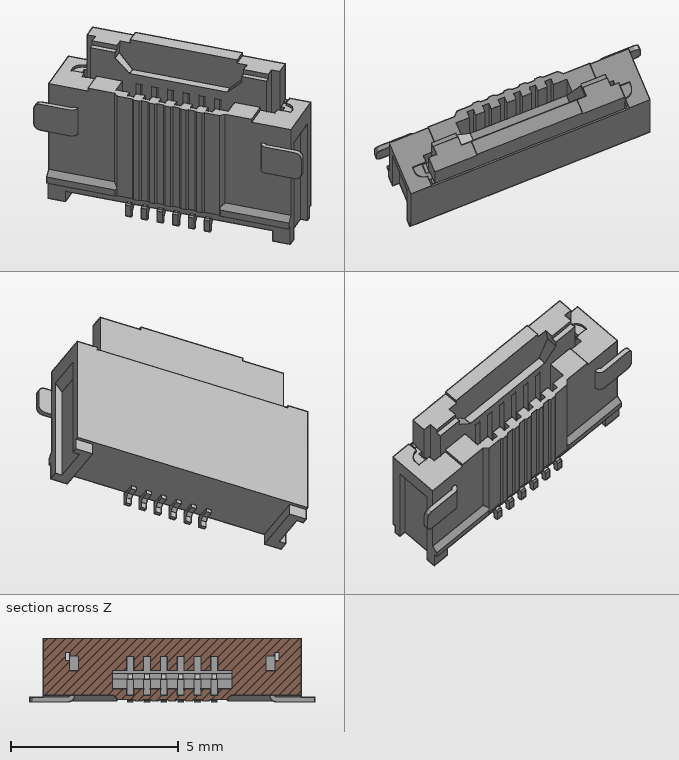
import cadquery as cq
import math


HALF_WIDTH = 3.85
TOP_Z = 3.95
FRONT_Y = -1.70
BASE_FRONT_Y = -1.77
FOOT_BACK_Y = -0.10
UNDERSIDE_Z = 0.36
FOOT_INNER_X = 3.29

LIP_HALF_WIDTH = 2.60
LIP_TOP_Z = 4.05

PAD_HALF_WIDTH = 1.625
PAD_Y = -1.83
PAD_DEPTH = FRONT_Y - PAD_Y
RIB_Y = -1.875
RIB_HEIGHT = PAD_Y - RIB_Y
RIB_TIP_HALF = 0.085
RIB_BASE_HALF = 0.145
LEDGE_BOTTOM_Z = 0.59
LEDGE_EDGE_Z = 0.80
LEDGE_TOP_Z = LEDGE_EDGE_Z + FRONT_Y - RIB_Y

CHANNEL_BACK_Y = -0.30
CHANNEL_FRONT_Y = -1.45
CHANNEL_DEPTH = 0.22
CHANNEL_TOP_Z = 3.36
CHANNEL_SLOPE = 0.26

CONTACT_COUNT = 6
PITCH = 0.50
CONTACT_XS = [(i - (CONTACT_COUNT - 1) / 2) * PITCH for i in range(CONTACT_COUNT)]
RIB_XS = [(i - (CONTACT_COUNT - 2) / 2) * PITCH for i in range(CONTACT_COUNT - 1)]
TAIL_WIDTH = 0.17
TAIL_FRONT_Y = -1.90
TAIL_BACK_Y = -1.74
TAIL_BOTTOM_Z = -0.05
TAIL_TOP_Z = 0.41
TAIL_CHAMFER = 0.05
TAIL_ARM_Z = 0.24
TAIL_ARM_END_Y = -1.40
TAIL_BEND_CHAMFER = 0.10

BAR_HALF_WIDTH = 3.06
BAR_BACK_Y = -0.05
BAR_FRONT_Y = -0.96
BAR_TOP_Z = 5.15
CREST_HALF_WIDTH = 1.70
CREST_TOP_Z = 5.25
RIM_Y = -0.80
RIM_Z = 5.00
NOTCH_X = 2.80
NOTCH_BACK_Y = -0.53
NOTCH_DEPTH = 1.00
GRIP_HALF_TOP = 2.01
GRIP_HALF_BOTTOM = 1.55
GRIP_CORNER_Z = 4.80
GRIP_BOTTOM_Z = 4.36
GRIP_TOP_Y = -0.50
GRIP_BOTTOM_Y = -0.71
BAR_SLOT_BACK_Y = -0.55

OPENING_HALF_WIDTH = 1.78
OPENING_FRONT_Y = -1.50
OPENING_FLOOR_Z = 1.00
SILL_BACK_Y = -1.05
SILL_FRONT_Y = -1.21
SILL_Z = 1.40
BACK_STEP_Z = 1.80
SLOT_WIDTH = 0.20
SLOT_BACK_Y = -1.23
SLOT_FRONT_Y = -1.69
SLOT_FLOOR_Z = 0.80
CONTACT_TIP_WIDTH = 0.14
CONTACT_TIP_BACK_Y = -1.07
CONTACT_TIP_RISE = 0.10

SEAT_DEPTH = 0.08
SEAT_HALF_WIDTH = 3.18
SEAT_RADIUS = 0.31
SEAT_BACK_Y = -0.32
SEAT_FRONT_Y = -0.75
SHOULDER_HALF_WIDTH = 3.13
SHOULDER_FRONT_Y = -0.21
SHOULDER_DROP = 0.04
PIVOT_GAP_BACK_Y = -0.43
PIVOT_GAP_SHALLOW = 0.15
PIVOT_GAP_DEEP = 0.35

TAB_END_X = 4.25
TAB_FRONT_Y = -1.90
TAB_THICKNESS = 0.15
TAB_BOTTOM_Z = 2.40
TAB_TOP_Z = 3.30
TAB_CORNER_RADIUS = 0.20
TAB_BEND_X = 3.11
TAB_ROOT_Y = FRONT_Y + 0.10


def box(x0, x1, y0, y1, z0, z1):
    """Box between two corners."""
    size = (abs(x1 - x0), abs(y1 - y0), abs(z1 - z0))
    corner = (min(x0, x1), min(y0, y1), min(z0, z1))
    return cq.Workplane("XY").box(*size, centered=False).translate(corner)


def centred_box(half_width, y0, y1, z0, z1):
    """Box symmetric about X = 0."""
    return box(-half_width, half_width, y0, y1, z0, z1)


def plan_prism(points, z0, z1):
    """Polygon of (x, y) points, extruded from z0 to z1."""
    return cq.Workplane("XY").workplane(offset=z0).polyline(points).close().extrude(z1 - z0)


def side_prism(points, x0, x1):
    """Polygon of (y, z) points, extruded from x0 to x1."""
    return cq.Workplane("YZ").workplane(offset=x0).polyline(points).close().extrude(x1 - x0)


def front_prism(points, y0, y1):
    """Polygon of (x, z) points, extruded from y0 toward -Y as far as y1."""
    return cq.Workplane("XZ").workplane(offset=-y0).polyline(points).close().extrude(y0 - y1)


def both_sides(solid):
    """The solid together with its mirror image across X = 0."""
    return solid.union(solid.mirror("YZ"))


def make_housing():
    housing = centred_box(HALF_WIDTH, 0, FRONT_Y, UNDERSIDE_Z, TOP_Z)
    housing = housing.union(centred_box(HALF_WIDTH, FOOT_BACK_Y, BASE_FRONT_Y, UNDERSIDE_Z, LEDGE_BOTTOM_Z))
    housing = housing.union(centred_box(LIP_HALF_WIDTH, BAR_FRONT_Y, FRONT_Y, TOP_Z, LIP_TOP_Z))
    foot = box(FOOT_INNER_X, HALF_WIDTH, FOOT_BACK_Y, BASE_FRONT_Y, 0, UNDERSIDE_Z)
    return housing.union(both_sides(foot))


def make_pad():
    """Raised pad with a tapered rib between each two contacts."""
    root = PAD_HALF_WIDTH + PAD_DEPTH
    pad = plan_prism(
        [(-root, FRONT_Y), (-PAD_HALF_WIDTH, PAD_Y), (PAD_HALF_WIDTH, PAD_Y), (root, FRONT_Y)],
        LEDGE_BOTTOM_Z, LIP_TOP_Z)
    for x in RIB_XS:
        pad = pad.union(plan_prism(
            [(x - RIB_BASE_HALF, PAD_Y), (x - RIB_TIP_HALF, RIB_Y),
             (x + RIB_TIP_HALF, RIB_Y), (x + RIB_BASE_HALF, PAD_Y)],
            LEDGE_BOTTOM_Z, LIP_TOP_Z))
    return pad


def make_ledge():
    """Sloped ledge on the +X side, ending in a bevel at the pad."""
    bar = side_prism(
        [(FRONT_Y, LEDGE_BOTTOM_Z), (RIB_Y, LEDGE_BOTTOM_Z), (RIB_Y, LEDGE_EDGE_Z), (FRONT_Y, LEDGE_TOP_Z)],
        0, HALF_WIDTH)
    plan = plan_prism(
        [(PAD_HALF_WIDTH, FRONT_Y), (PAD_HALF_WIDTH, PAD_Y), (PAD_HALF_WIDTH + RIB_HEIGHT, RIB_Y),
         (HALF_WIDTH, RIB_Y), (HALF_WIDTH, FRONT_Y)],
        LEDGE_BOTTOM_Z, LEDGE_TOP_Z)
    return bar.intersect(plan)


def make_channel():
    """Cut for the +X end channel, open at the bottom, its top sloping inward."""
    inner = HALF_WIDTH - CHANNEL_DEPTH
    return front_prism(
        [(inner, 0), (HALF_WIDTH, 0), (HALF_WIDTH, CHANNEL_TOP_Z), (inner, CHANNEL_TOP_Z - CHANNEL_SLOPE)],
        CHANNEL_BACK_Y, CHANNEL_FRONT_Y)


def make_seats():
    """Cut for the shallow recess at the back, the pivot seats and the sloped pivot gaps."""
    floor = TOP_Z - SEAT_DEPTH
    outer = SEAT_HALF_WIDTH + SEAT_RADIUS
    diagonal = SEAT_RADIUS * math.sqrt(0.5)
    arc_y = SEAT_BACK_Y - SEAT_RADIUS
    seat = (
        cq.Workplane("XY").workplane(offset=floor)
        .moveTo(0, SEAT_BACK_Y)
        .lineTo(SEAT_HALF_WIDTH, SEAT_BACK_Y)
        .threePointArc((SEAT_HALF_WIDTH + diagonal, arc_y + diagonal), (outer, arc_y))
        .lineTo(outer, SEAT_FRONT_Y)
        .lineTo(0, SEAT_FRONT_Y)
        .close().extrude(SEAT_DEPTH)
    )
    gap = side_prism(
        [(PIVOT_GAP_BACK_Y, TOP_Z), (PIVOT_GAP_BACK_Y, TOP_Z - PIVOT_GAP_DEEP),
         (SEAT_FRONT_Y, TOP_Z - PIVOT_GAP_SHALLOW), (SEAT_FRONT_Y, TOP_Z)],
        BAR_HALF_WIDTH, SEAT_HALF_WIDTH)
    return both_sides(seat.union(gap)).union(centred_box(SEAT_HALF_WIDTH, 0, SEAT_BACK_Y, floor, TOP_Z))


def make_actuator():
    """Locking bar, standing on the housing, with a sloped finger grip in its front."""
    base_z = TOP_Z - NOTCH_DEPTH
    bar = centred_box(BAR_HALF_WIDTH, BAR_BACK_Y, BAR_FRONT_Y, base_z, BAR_TOP_Z)
    bar = bar.union(centred_box(CREST_HALF_WIDTH, BAR_BACK_Y, GRIP_BOTTOM_Y, BAR_TOP_Z, CREST_TOP_Z))
    shoulder_z = TOP_Z - SHOULDER_DROP
    bar = bar.union(centred_box(SHOULDER_HALF_WIDTH, BAR_BACK_Y, SHOULDER_FRONT_Y, base_z, shoulder_z))
    bar = bar.cut(centred_box(BAR_HALF_WIDTH, RIM_Y, BAR_FRONT_Y, RIM_Z, BAR_TOP_Z))
    outline = front_prism(
        [(-GRIP_HALF_BOTTOM, GRIP_BOTTOM_Z), (GRIP_HALF_BOTTOM, GRIP_BOTTOM_Z),
         (GRIP_HALF_TOP, GRIP_CORNER_Z), (GRIP_HALF_TOP, CREST_TOP_Z),
         (-GRIP_HALF_TOP, CREST_TOP_Z), (-GRIP_HALF_TOP, GRIP_CORNER_Z)],
        0, BAR_FRONT_Y)
    slope = side_prism(
        [(BAR_FRONT_Y, GRIP_BOTTOM_Z), (GRIP_BOTTOM_Y, GRIP_BOTTOM_Z),
         (GRIP_TOP_Y, CREST_TOP_Z), (BAR_FRONT_Y, CREST_TOP_Z)],
        -GRIP_HALF_TOP, GRIP_HALF_TOP)
    return bar.cut(outline.intersect(slope))


def make_end_notch():
    """Cut for the front corner of the actuator's +X end, running down into the housing."""
    return box(NOTCH_X, BAR_HALF_WIDTH, NOTCH_BACK_Y, BAR_FRONT_Y, TOP_Z - NOTCH_DEPTH, BAR_TOP_Z)


def make_opening():
    """Cut for the stepped cable opening and the contact slots."""
    opening = centred_box(OPENING_HALF_WIDTH, BAR_FRONT_Y, SILL_BACK_Y, BACK_STEP_Z, LIP_TOP_Z)
    opening = opening.union(centred_box(OPENING_HALF_WIDTH, SILL_BACK_Y, SILL_FRONT_Y, SILL_Z, LIP_TOP_Z))
    opening = opening.union(
        centred_box(OPENING_HALF_WIDTH, SILL_FRONT_Y, OPENING_FRONT_Y, OPENING_FLOOR_Z, LIP_TOP_Z))
    half = SLOT_WIDTH / 2
    for x in CONTACT_XS:
        opening = opening.union(box(x - half, x + half, SLOT_BACK_Y, SLOT_FRONT_Y, SLOT_FLOOR_Z, LIP_TOP_Z))
        opening = opening.union(box(x - half, x + half, BAR_SLOT_BACK_Y, BAR_FRONT_Y, BACK_STEP_Z, LIP_TOP_Z))
    return opening


def make_contact(x):
    """Solder tail below the housing and the sloped contact tip on the sill."""
    tail = side_prism(
        [(TAIL_ARM_END_Y, TAIL_TOP_Z), (TAIL_ARM_END_Y, TAIL_ARM_Z),
         (TAIL_BACK_Y + TAIL_BEND_CHAMFER, TAIL_ARM_Z), (TAIL_BACK_Y, TAIL_ARM_Z - TAIL_BEND_CHAMFER),
         (TAIL_BACK_Y, TAIL_BOTTOM_Z), (TAIL_FRONT_Y + TAIL_CHAMFER, TAIL_BOTTOM_Z),
         (TAIL_FRONT_Y, TAIL_BOTTOM_Z + TAIL_CHAMFER), (TAIL_FRONT_Y, TAIL_TOP_Z - TAIL_CHAMFER),
         (TAIL_FRONT_Y + TAIL_CHAMFER, TAIL_TOP_Z)],
        x - TAIL_WIDTH / 2, x + TAIL_WIDTH / 2)
    tip = side_prism(
        [(CONTACT_TIP_BACK_Y, SILL_Z), (SILL_FRONT_Y, SILL_Z), (SILL_FRONT_Y, SILL_Z + CONTACT_TIP_RISE)],
        x - CONTACT_TIP_WIDTH / 2, x + CONTACT_TIP_WIDTH / 2)
    return tail.union(tip)


def make_tab():
    """Solder tab on the +X side, bent out of the housing front."""
    back_y = TAB_FRONT_Y + TAB_THICKNESS
    outer_radius = FRONT_Y - TAB_FRONT_Y
    inner_radius = outer_radius - TAB_THICKNESS
    outer_mid = outer_radius * math.sqrt(0.5)
    inner_mid = inner_radius * math.sqrt(0.5)
    return (
        cq.Workplane("XY").workplane(offset=TAB_BOTTOM_Z)
        .moveTo(TAB_END_X, TAB_FRONT_Y)
        .lineTo(TAB_BEND_X, TAB_FRONT_Y)
        .threePointArc((TAB_BEND_X - outer_mid, FRONT_Y - outer_mid), (TAB_BEND_X - outer_radius, FRONT_Y))
        .lineTo(TAB_BEND_X - outer_radius, TAB_ROOT_Y)
        .lineTo(TAB_BEND_X - inner_radius, TAB_ROOT_Y)
        .lineTo(TAB_BEND_X - inner_radius, FRONT_Y)
        .threePointArc((TAB_BEND_X - inner_mid, FRONT_Y - inner_mid), (TAB_BEND_X, back_y))
        .lineTo(TAB_END_X, back_y)
        .close().extrude(TAB_TOP_Z - TAB_BOTTOM_Z)
        .edges("|Y and >X").fillet(TAB_CORNER_RADIUS)
    )


result = make_housing().union(make_pad())
result = result.union(both_sides(make_ledge()))
result = result.cut(both_sides(make_channel()))
result = result.cut(make_seats())
result = result.union(make_actuator())
result = result.cut(both_sides(make_end_notch()))
result = result.cut(make_opening())
for contact_x in CONTACT_XS:
    result = result.union(make_contact(contact_x))
result = result.union(both_sides(make_tab()))